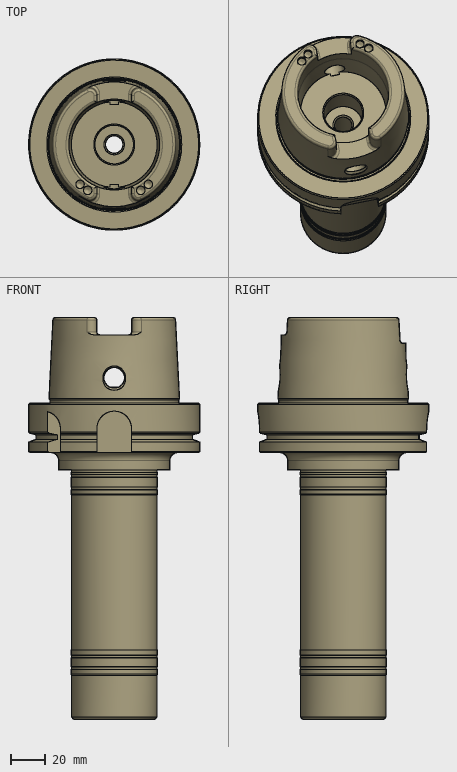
import cadquery as cq
import math

TOTAL_HEIGHT = 235.0
TAPER_LENGTH = 50.0
FLANGE_HEIGHT = 29.0
COLLAR_HEIGHT = 10.0
FACE_Z = TOTAL_HEIGHT - TAPER_LENGTH
FLANGE_BOTTOM_Z = FACE_Z - FLANGE_HEIGHT
COLLAR_BOTTOM_Z = FLANGE_BOTTOM_Z - COLLAR_HEIGHT

TAPER_TIP_RADIUS = 71.7 / 2
TAPER_HALF_SLOPE = 0.05
RIM_FILLET = 1.6
UNDERCUT_RADIUS = 75.5 / 2
UNDERCUT_HEIGHT = 2.5
UNDERCUT_CHAMFER = 0.7
FACE_RECESS_RADIUS = 39.5
FACE_RECESS_DEPTH = 0.7

FLANGE_RADIUS = 100.0 / 2
FLANGE_CHAMFER = 0.7
GROOVE_FLOOR_RADIUS = 45.8
GROOVE_TOP_Z = 168.0
GROOVE_BOTTOM_Z = 162.2
GROOVE_FLANK_HEIGHT = 1.6
GROOVE_LIP_CHAMFER = 0.7
COLLAR_RADIUS = 65.0 / 2
COLLAR_FILLET = 4.7

SHANK_RADIUS = 50.0 / 2
SHANK_CHAMFER = 1.5
BAND_RADIUS = 50.5 / 2
BAND_RISE = 0.7
UPPER_BAND = (131.1, 144.5)
LOWER_BAND = (25.8, 40.7)
UPPER_BAND_GROOVES = [134.2, 141.5]
LOWER_BAND_GROOVES = [29.1, 36.0]
RING_GROOVE_WIDTH = 1.9

BORE_RADIUS = 53.0 / 2
BORE_BOTTOM_Z = 215.0
CAVITY_FLOOR_RADIUS = 50.0 / 2
CAVITY_FLOOR_Z = 194.3
SOCKET_RADIUS = 11.3
SOCKET_MOUTH_RADIUS = 12.0
SOCKET_DEPTH = 23.5
COOLANT_RADIUS = 10.0 / 2
COOLANT_MOUTH_RADIUS = 12.0 / 2

SLOT_HALF_WIDTH = 10.0
SLOT_CORNER_RADIUS = 4.0
FRONT_SLOT_DEPTH = 10.0
BACK_SLOT_DEPTH = 15.0
SLOT_FLOOR_FILLET = 1.6

ACCESS_Z = 199.8
ACCESS_RADIUS = 12.0 / 2
ACCESS_MOUTH_RADIUS = 7.3
ACCESS_INNER_END = 23.5

FRONT_NOTCH_WIDTH = 20.2
BACK_NOTCH_WIDTH = 22.3
NOTCH_FLOOR = 44.0
CORNER_NOTCH_WIDTH = 20.0
CORNER_NOTCH_FLOOR = 31.5
NOTCH_TOP_Z = 180.2

PIT_RADIUS = 5.0 / 2
PIT_DEPTH = 2.4
PIT_TIP_DEPTH = 1.5
PIT_POSITIONS = [(20.0, -23.3), (15.5, -26.8)]

CLEARANCE = 11.8
TOLERANCE = 0.02


def taper_radius(z):
    return TAPER_TIP_RADIUS + TAPER_HALF_SLOPE * (TOTAL_HEIGHT - z)


def revolve(outline):
    return outline.close().revolve(360, (0, 0, 0), (0, 1, 0))


def banded_outline(outline, band, groove_bottoms):
    """Continue the shank outline upward over one thick band and its ring grooves."""
    bottom, top = band
    bevel = BAND_RADIUS - SHANK_RADIUS
    outline = outline.lineTo(SHANK_RADIUS, bottom).lineTo(BAND_RADIUS, bottom + BAND_RISE)
    for groove_bottom in groove_bottoms:
        groove_top = groove_bottom + RING_GROOVE_WIDTH
        outline = (
            outline.lineTo(BAND_RADIUS, groove_bottom)
            .lineTo(SHANK_RADIUS, groove_bottom + bevel)
            .lineTo(SHANK_RADIUS, groove_top - bevel)
            .lineTo(BAND_RADIUS, groove_top)
        )
    return outline.lineTo(BAND_RADIUS, top).lineTo(SHANK_RADIUS, top)


def outer_body():
    """Shank, collar, flange and taper as one revolved outline."""
    undercut_top = FACE_Z + UNDERCUT_HEIGHT
    recess_z = FACE_Z - FACE_RECESS_DEPTH
    outline = cq.Workplane("XZ").lineTo(SHANK_RADIUS - SHANK_CHAMFER, 0)
    outline = outline.lineTo(SHANK_RADIUS, SHANK_CHAMFER)
    outline = banded_outline(outline, LOWER_BAND, LOWER_BAND_GROOVES)
    outline = banded_outline(outline, UPPER_BAND, UPPER_BAND_GROOVES)
    outline = (
        outline.lineTo(SHANK_RADIUS, COLLAR_BOTTOM_Z)
        .lineTo(COLLAR_RADIUS, COLLAR_BOTTOM_Z)
        .lineTo(COLLAR_RADIUS, FLANGE_BOTTOM_Z - COLLAR_FILLET)
        .radiusArc((COLLAR_RADIUS + COLLAR_FILLET, FLANGE_BOTTOM_Z), COLLAR_FILLET)
        .lineTo(FLANGE_RADIUS - FLANGE_CHAMFER, FLANGE_BOTTOM_Z)
        .lineTo(FLANGE_RADIUS, FLANGE_BOTTOM_Z + FLANGE_CHAMFER)
        .lineTo(FLANGE_RADIUS, GROOVE_BOTTOM_Z)
        .lineTo(GROOVE_FLOOR_RADIUS, GROOVE_BOTTOM_Z + GROOVE_FLANK_HEIGHT)
        .lineTo(GROOVE_FLOOR_RADIUS, GROOVE_TOP_Z - GROOVE_FLANK_HEIGHT)
        .lineTo(FLANGE_RADIUS - GROOVE_LIP_CHAMFER, GROOVE_TOP_Z - GROOVE_LIP_CHAMFER)
        .lineTo(FLANGE_RADIUS, GROOVE_TOP_Z)
        .lineTo(FLANGE_RADIUS, FACE_Z - FLANGE_CHAMFER)
        .lineTo(FLANGE_RADIUS - FLANGE_CHAMFER, FACE_Z)
        .lineTo(FACE_RECESS_RADIUS, FACE_Z)
        .lineTo(FACE_RECESS_RADIUS - FACE_RECESS_DEPTH, recess_z)
        .lineTo(UNDERCUT_RADIUS, recess_z)
        .lineTo(UNDERCUT_RADIUS, undercut_top - UNDERCUT_CHAMFER)
        .lineTo(taper_radius(undercut_top), undercut_top)
        .lineTo(TAPER_TIP_RADIUS, TOTAL_HEIGHT)
        .lineTo(0, TOTAL_HEIGHT)
    )
    return revolve(outline)


def inner_cavity():
    """Mouth bore, tapering cavity, stepped socket and coolant hole."""
    socket_bevel = SOCKET_MOUTH_RADIUS - SOCKET_RADIUS
    coolant_bevel = COOLANT_MOUTH_RADIUS - COOLANT_RADIUS
    socket_floor_z = CAVITY_FLOOR_Z - SOCKET_DEPTH
    outline = (
        cq.Workplane("XZ")
        .lineTo(COOLANT_RADIUS, 0)
        .lineTo(COOLANT_RADIUS, socket_floor_z - coolant_bevel)
        .lineTo(COOLANT_MOUTH_RADIUS, socket_floor_z)
        .lineTo(SOCKET_RADIUS, socket_floor_z)
        .lineTo(SOCKET_RADIUS, CAVITY_FLOOR_Z - socket_bevel)
        .lineTo(SOCKET_MOUTH_RADIUS, CAVITY_FLOOR_Z)
        .lineTo(CAVITY_FLOOR_RADIUS, CAVITY_FLOOR_Z)
        .lineTo(BORE_RADIUS, BORE_BOTTOM_Z)
        .lineTo(BORE_RADIUS, TOTAL_HEIGHT)
        .lineTo(0, TOTAL_HEIGHT)
    )
    return revolve(outline)


def drive_slot(side, depth):
    """Straight slot through one side of the taper wall."""
    center_y = side * FLANGE_RADIUS / 2
    return (
        cq.Workplane("XY", origin=(0, center_y, TOTAL_HEIGHT - depth))
        .rect(2 * SLOT_HALF_WIDTH, FLANGE_RADIUS)
        .extrude(depth)
    )


def is_slot_corner(edge):
    """True for the upright edges where a slot wall meets the taper surface."""
    center = edge.Center()
    box = edge.BoundingBox()
    on_wall = abs(abs(center.x) - SLOT_HALF_WIDTH) < TOLERANCE
    reaches_rim = box.zmax > TOTAL_HEIGHT - TOLERANCE
    outside = abs(center.y) > (BORE_RADIUS + TAPER_TIP_RADIUS) / 2
    return on_wall and reaches_rim and outside and box.zlen > FRONT_SLOT_DEPTH / 2


def is_slot_floor_edge(edge):
    """True for the edges where the floor of a slot meets its walls and rounded corners."""
    center = edge.Center()
    level = edge.BoundingBox().zlen < TOLERANCE
    floors = [TOTAL_HEIGHT - depth for depth in (FRONT_SLOT_DEPTH, BACK_SLOT_DEPTH)]
    on_floor = any(abs(center.z - floor) < TOLERANCE for floor in floors)
    beside_wall = abs(center.x) > SLOT_HALF_WIDTH - TOLERANCE
    inside_taper = math.hypot(center.x, center.y) < TAPER_TIP_RADIUS
    return level and on_floor and beside_wall and inside_taper


def fillet_where(body, test, radius):
    edges = [edge for edge in body.edges().vals() if test(edge)]
    return body.newObject(edges).fillet(radius)


def access_hole(side):
    """Countersunk radial hole from the taper surface into the cavity."""
    surface = taper_radius(ACCESS_Z)
    bevel = ACCESS_MOUTH_RADIUS - ACCESS_RADIUS
    outline = (
        cq.Workplane("XY")
        .moveTo(0, ACCESS_INNER_END)
        .lineTo(ACCESS_RADIUS, ACCESS_INNER_END)
        .lineTo(ACCESS_RADIUS, surface - bevel)
        .lineTo(ACCESS_MOUTH_RADIUS, surface)
        .lineTo(ACCESS_MOUTH_RADIUS, surface + CLEARANCE)
        .lineTo(0, surface + CLEARANCE)
    )
    turn = 0 if side > 0 else 180
    return revolve(outline).rotate((0, 0, 0), (0, 0, 1), turn).translate((0, 0, ACCESS_Z))


def flange_notch(center_x, width, floor, side):
    """Round-topped notch, open at the flange underside, with a flat floor."""
    radius = width / 2
    center_z = NOTCH_TOP_Z - radius
    depth = FLANGE_RADIUS + CLEARANCE - floor
    start = floor if side > 0 else -floor - depth
    bottom_z = FLANGE_BOTTOM_Z
    return (
        cq.Workplane("XZ", origin=(0, start + depth, 0))
        .moveTo(center_x - radius, bottom_z)
        .lineTo(center_x - radius, center_z)
        .threePointArc((center_x, NOTCH_TOP_Z), (center_x + radius, center_z))
        .lineTo(center_x + radius, bottom_z)
        .close()
        .extrude(depth)
    )


def rim_pit(x, y):
    """Small blind hole in the top rim with a conical drill-point bottom."""
    outline = (
        cq.Workplane("XZ")
        .moveTo(0, -PIT_DEPTH - PIT_TIP_DEPTH)
        .lineTo(PIT_RADIUS, -PIT_DEPTH)
        .lineTo(PIT_RADIUS, 0)
        .lineTo(0, 0)
    )
    return revolve(outline).translate((x, y, TOTAL_HEIGHT))


result = outer_body().cut(inner_cavity())
result = result.cut(drive_slot(-1, FRONT_SLOT_DEPTH))
result = result.cut(drive_slot(1, BACK_SLOT_DEPTH))
result = fillet_where(result, is_slot_corner, SLOT_CORNER_RADIUS)
result = fillet_where(result, is_slot_floor_edge, SLOT_FLOOR_FILLET)
result = result.faces(">Z").edges().fillet(RIM_FILLET)

for side in (-1, 1):
    result = result.cut(access_hole(side))

corner_notch_x = -CORNER_NOTCH_FLOOR - CORNER_NOTCH_WIDTH / 2
result = result.cut(flange_notch(0, FRONT_NOTCH_WIDTH, NOTCH_FLOOR, -1))
result = result.cut(flange_notch(0, BACK_NOTCH_WIDTH, NOTCH_FLOOR, 1))
result = result.cut(flange_notch(corner_notch_x, CORNER_NOTCH_WIDTH, CORNER_NOTCH_FLOOR, -1))

for pit_x, pit_y in PIT_POSITIONS:
    for mirror in (-1, 1):
        result = result.cut(rim_pit(mirror * pit_x, pit_y))